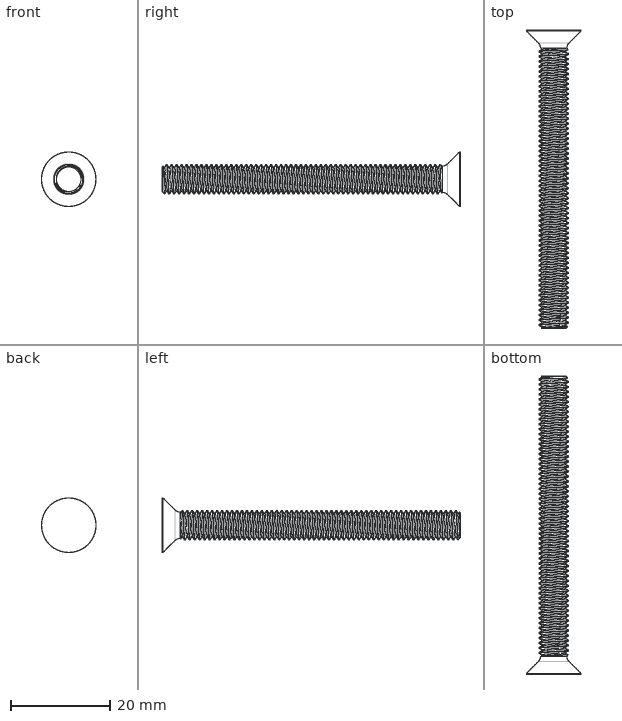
import cadquery as cq
import math

length = 60.0

head_radius = 11.0 / 2
rim_height = 0.2
cone_angle = math.radians(45)
cone_end_depth = 2.6
cone_end_radius = head_radius - (cone_end_depth - rim_height) * math.tan(cone_angle)

major_radius = 6.0 / 2
pitch = 1.0
flank_angle = math.radians(30)
sharp_height = pitch / 2 / math.tan(flank_angle)
thread_depth = sharp_height * 5 / 8
minor_radius = major_radius - thread_depth
crest_width = pitch / 8
root_overlap = 0.2
base_width = crest_width + 2 * (thread_depth + root_overlap) * math.tan(flank_angle)
crest_phase = 0.18
overrun_turns = 1
envelope_clearance = 0.1

neck_radius = major_radius - sharp_height * 3 / 8
neck_fillet_radius = (cone_end_radius - neck_radius) / (1 - math.cos(cone_angle))
thread_start_depth = cone_end_depth + neck_fillet_radius * math.sin(cone_angle)
runout_length = 0.55

tip_chamfer = thread_depth


def revolve_about_y(profile):
    """Close a profile drawn in the XY plane and turn it about the screw axis."""
    return profile.close().revolve(360, (0, 0, 0), (0, 1, 0))


def make_head_and_neck():
    """Thin rim, cone and a neck that the cone meets in a tangent fillet."""
    profile = (
        cq.Workplane("XY")
        .lineTo(head_radius, 0)
        .lineTo(head_radius, -rim_height)
        .lineTo(cone_end_radius, -cone_end_depth)
        .tangentArcPoint((neck_radius, -thread_start_depth), relative=False)
        .lineTo(0, -thread_start_depth)
    )
    return revolve_about_y(profile)


def make_core():
    """Plain rod of the thread's root diameter, reaching up into the neck."""
    return revolve_about_y(
        cq.Workplane("XY")
        .moveTo(0, -cone_end_depth)
        .lineTo(minor_radius, -cone_end_depth)
        .lineTo(minor_radius, -length)
        .lineTo(0, -length)
    )


def make_ridge():
    """Right-hand helical ridge, overrunning both ends of the threaded length."""
    start_y = -length + crest_phase - overrun_turns * pitch
    turns = math.ceil((length - thread_start_depth) / pitch) + 2 * overrun_turns
    inner_radius = minor_radius - root_overlap
    path = cq.Wire.makeHelix(
        pitch, turns * pitch, major_radius, cq.Vector(0, start_y, 0), cq.Vector(0, 1, 0)
    )
    path = path.rotate(cq.Vector(0, 0, 0), cq.Vector(0, 1, 0), 90)
    section = (
        cq.Workplane("XY")
        .moveTo(inner_radius, start_y - base_width / 2)
        .lineTo(major_radius, start_y - crest_width / 2)
        .lineTo(major_radius, start_y + crest_width / 2)
        .lineTo(inner_radius, start_y + base_width / 2)
        .close()
    )
    return section.sweep(cq.Workplane(obj=path), isFrenet=True)


def make_thread_envelope():
    """Space the ridge may fill: tapered at the neck and chamfered at the tip."""
    outer_radius = major_radius + envelope_clearance
    full_thread_depth = thread_start_depth + runout_length
    return revolve_about_y(
        cq.Workplane("XY")
        .moveTo(0, -thread_start_depth)
        .lineTo(neck_radius, -thread_start_depth)
        .lineTo(major_radius, -full_thread_depth)
        .lineTo(outer_radius, -full_thread_depth)
        .lineTo(outer_radius, -length + tip_chamfer + envelope_clearance)
        .lineTo(minor_radius, -length)
        .lineTo(0, -length)
    )


shank = make_core().union(make_head_and_neck())
thread = make_ridge().intersect(make_thread_envelope())
result = shank.union(thread)